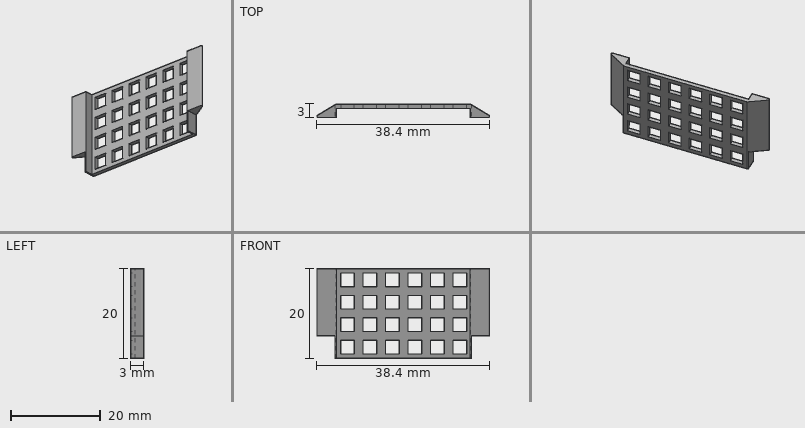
import cadquery as cq

depth = 3.0
height = 20.0

plate_thickness = 1.0
channel_width = 29.8
apex_half_width = 20.0
back_half_width = 15.0
tip_radius = 0.3

stem_width = 30.5
notch_height = 5.0

window_size = 3.0
window_pitch = 5.0
window_columns = 6
window_rows = 4
window_grid_offset = 0.085


def make_body():
    """Extrude the trapezoid with rounded tips and clear the channel in front of the plate."""
    trapezoid = (
        cq.Workplane("XY")
        .polyline([
            (-apex_half_width, 0),
            (apex_half_width, 0),
            (back_half_width, depth),
            (-back_half_width, depth),
        ])
        .close()
        .extrude(height)
    )
    rounded = trapezoid.edges("|Z and <Y").fillet(tip_radius)
    channel = cq.Workplane("XY").box(
        channel_width, depth - plate_thickness, height, centered=(True, False, False)
    )
    return rounded.cut(channel)


def make_notches():
    """Blocks that remove the lower end of each wing outside the stem."""
    notch_width = apex_half_width - stem_width / 2
    notch_center = (apex_half_width + stem_width / 2) / 2
    return (
        cq.Workplane("XY")
        .pushPoints([(-notch_center, depth / 2), (notch_center, depth / 2)])
        .rect(notch_width, depth)
        .extrude(notch_height)
    )


def make_windows():
    """Square prisms that pierce the plate from front to back."""
    return (
        cq.Workplane("XZ")
        .center(window_grid_offset, height / 2)
        .rarray(window_pitch, window_pitch, window_columns, window_rows)
        .rect(window_size, window_size)
        .extrude(-depth)
    )


result = make_body().cut(make_notches()).cut(make_windows())